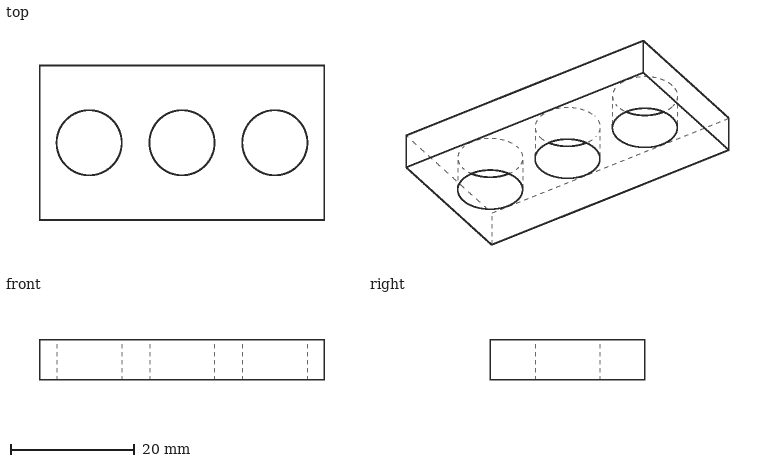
import cadquery as cq

length = 46.0
width = 25.0
thickness = 6.5

hole_diameter = 10.5
hole_count = 3
hole_pitch = 15.0

plate = cq.Workplane("XY").box(length, width, thickness)

result = (
    plate.faces(">Z")
    .workplane()
    .rarray(hole_pitch, 0.45, hole_count, 1)
    .hole(hole_diameter)
)